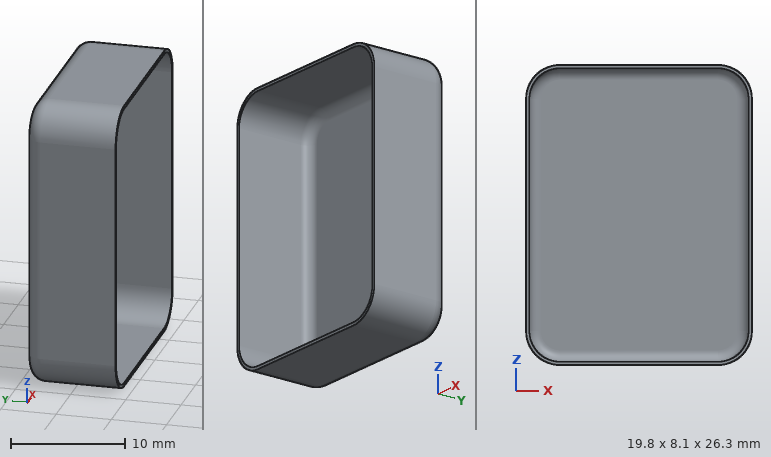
import cadquery as cq

width = 19.8
depth = 8.1
height = 26.3
wall = 0.3
corner_radius = 3.0
back_radius = 1.3


def rounded_block(inset):
    """Block with rounded corners and back edge, set in from the outer skin; open rim at Y = 0."""
    return (
        cq.Workplane("XZ")
        .rect(width - 2 * inset, height - 2 * inset)
        .extrude(-(depth - inset))
        .edges("|Y")
        .fillet(corner_radius - inset)
        .faces(">Y")
        .edges()
        .fillet(back_radius - inset)
    )


result = rounded_block(0).cut(rounded_block(wall))